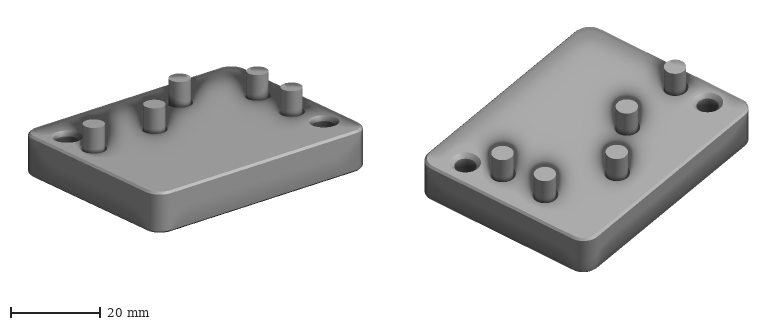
import cadquery as cq

width = 48.0
length = 62.0
total_height = 16.0
plate_thickness = 10.0
corner_radius = 4.0
edge_chamfer = 0.5

pin_diameter = 5.0
recess_diameter = 6.0
pin_column_x = -6.0
pin_row_y = 23.0
pin_positions = [
    (pin_column_x, pin_row_y),
    (-pin_column_x, pin_row_y),
    (-14.0, 7.0),
    (pin_column_x, -7.0),
    (pin_column_x, -24.7),
]

hole_diameter = 5.0
hole_mouth_diameter = 7.0
hole_x = 15.0
hole_y = 25.0
hole_positions = [(hole_x, hole_y), (-hole_x, -hole_y)]


def make_plate():
    """Rounded rectangular plate with chamfered top and bottom edges."""
    plate = cq.Workplane("XY").box(width, length, plate_thickness, centered=(True, True, False))
    plate = plate.edges("|Z").fillet(corner_radius)
    return plate.faces("<Z or >Z").edges().chamfer(edge_chamfer)


def make_cones(positions, mouth_diameter, bottom_diameter):
    """45 degree cones that open at the top face of the plate."""
    depth = (mouth_diameter - bottom_diameter) / 2
    cone = cq.Solid.makeCone(bottom_diameter / 2, mouth_diameter / 2, depth)
    top = cq.Workplane("XY").workplane(offset=plate_thickness - depth)
    return top.pushPoints(positions).eachpoint(lambda place: cone.moved(place))


def make_cylinders(positions, diameter, height):
    """Upright cylinders rising from the underside of the plate."""
    return cq.Workplane("XY").pushPoints(positions).circle(diameter / 2).extrude(height)


result = (
    make_plate()
    .cut(make_cylinders(hole_positions, hole_diameter, plate_thickness))
    .cut(make_cones(hole_positions, hole_mouth_diameter, hole_diameter))
    .cut(make_cones(pin_positions, recess_diameter, pin_diameter))
    .union(make_cylinders(pin_positions, pin_diameter, total_height))
)